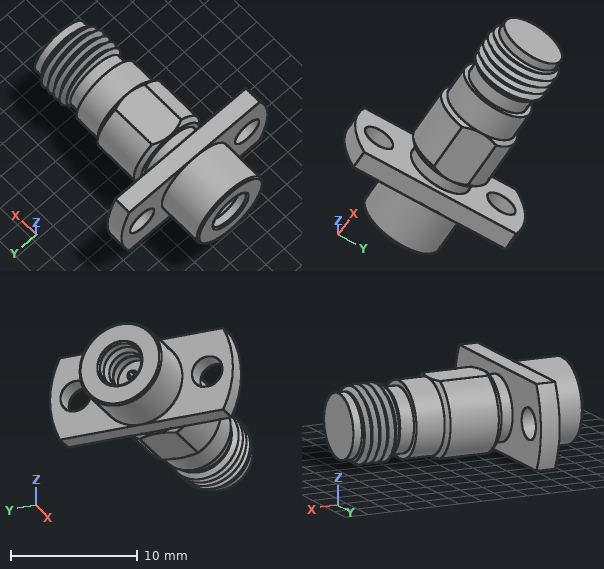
import cadquery as cq
import math

length = 19.81

barrel_dia = 7.11
barrel_chamfer = 0.14
flange_start = 4.18
flange_thickness = 1.65
flange_dia = 15.89
flange_height = 7.13
flange_hole_dia = 2.61
flange_hole_offset = 5.7
flange_end = flange_start + flange_thickness

front_neck_dia = 5.47
wrench_start = 7.01
wrench_end = 12.0
wrench_dia = barrel_dia
wrench_flats = 6.35
wrench_front_chamfer = 0.42
wrench_rear_chamfer = 0.34
collar_dia = wrench_flats
collar_end = 14.48

rear_dia = 5.43
thread_dia = 6.44
thread_start = 15.69
thread_end = 19.05
thread_pitch = 0.7
thread_base_width = 0.67
thread_root_overlap = 0.02
helix_start = 15.02
helix_turns = 7

socket_mouth_dia = 3.9
socket_dia = 3.6
socket_throat_dia = 3.05
socket_chamber_dia = 3.17
socket_chamfer = (socket_mouth_dia - socket_dia) / 2
taper_start = 0.9
taper_end = 1.35
throat_end = 2.18
socket_depth = 3.17

pin_dia = 0.8
pin_tip_dia = 0.38
pin_shoulder = 2.38
pin_tip_length = 0.4
pin_seat_depth = 0.8
pin_end = socket_depth + pin_seat_depth


def cylinder(start, end, diameter):
    """Cylinder about the X axis from x = start to x = end."""
    return cq.Workplane("YZ").workplane(offset=start).circle(diameter / 2).extrude(end - start)


def revolve_profile(points):
    """Solid of revolution about the X axis from (x, radius) points that begin and end on the axis."""
    return cq.Workplane("XY").polyline(points).close().revolve(360, (0, 0, 0), (1, 0, 0))


def make_barrel():
    return cylinder(0, flange_start, barrel_dia).faces("<X").chamfer(barrel_chamfer)


def make_flange():
    """Round plate trimmed flat above and below, with a mounting hole on each side."""
    middle = flange_start + flange_thickness / 2
    plate = cylinder(flange_start, flange_end, flange_dia)
    plate = plate.intersect(
        cq.Workplane("XY").box(flange_thickness, flange_dia, flange_height).translate((middle, 0, 0))
    )
    for side in (-1, 1):
        hole = cylinder(flange_start, flange_end, flange_hole_dia)
        plate = plate.cut(hole.translate((0, side * flange_hole_offset, 0)))
    return plate


def make_wrench_section():
    """Cylinder coned down at both ends to the collar diameter, with flats on +Z and -Z."""
    body = revolve_profile([
        (wrench_start, 0),
        (wrench_start, collar_dia / 2),
        (wrench_start + wrench_front_chamfer, wrench_dia / 2),
        (wrench_end - wrench_rear_chamfer, wrench_dia / 2),
        (wrench_end, collar_dia / 2),
        (wrench_end, 0),
    ])
    wrench_length = wrench_end - wrench_start
    between_flats = cq.Workplane("XY").box(wrench_length, wrench_dia, wrench_flats)
    return body.intersect(between_flats.translate((wrench_start + wrench_length / 2, 0, 0)))


def make_thread():
    """Right-handed V ridge, trimmed by 45 degree cones at both ends of the thread."""
    root_radius = rear_dia / 2 - thread_root_overlap
    crest_radius = thread_dia / 2
    helix = cq.Wire.makeHelix(thread_pitch, thread_pitch * helix_turns, root_radius)
    ridge = (
        cq.Workplane("XZ")
        .polyline([
            (root_radius, -thread_base_width / 2),
            (crest_radius, 0),
            (root_radius, thread_base_width / 2),
        ])
        .close()
        .sweep(cq.Workplane(obj=helix), isFrenet=True)
    )
    ridge = ridge.rotate((0, 0, 0), (1, 1, 1), 120).translate((helix_start, 0, 0))

    end_radius = rear_dia / 2
    envelope_radius = crest_radius + thread_root_overlap
    end_cone = envelope_radius - end_radius
    envelope = revolve_profile([
        (thread_start, 0),
        (thread_start, end_radius),
        (thread_start + end_cone, envelope_radius),
        (thread_end - end_cone, envelope_radius),
        (thread_end, end_radius),
        (thread_end, 0),
    ])
    return ridge.intersect(envelope)


def make_socket():
    """Space inside the barrel: lead-in, bore, taper, throat and a wider chamber."""
    return revolve_profile([
        (0, 0),
        (0, socket_mouth_dia / 2),
        (socket_chamfer, socket_dia / 2),
        (taper_start, socket_dia / 2),
        (taper_end, socket_throat_dia / 2),
        (throat_end, socket_throat_dia / 2),
        (throat_end, socket_chamber_dia / 2),
        (socket_depth, socket_chamber_dia / 2),
        (socket_depth, 0),
    ])


def make_housing():
    housing = make_barrel()
    housing = housing.union(make_flange())
    housing = housing.union(cylinder(flange_end, wrench_start, front_neck_dia))
    housing = housing.union(make_wrench_section())
    housing = housing.union(cylinder(wrench_end, collar_end, collar_dia))
    housing = housing.union(cylinder(collar_end, length, rear_dia))
    housing = housing.union(make_thread())
    pin_hole = cylinder(socket_depth, pin_end, pin_dia)
    return housing.cut(make_socket()).cut(pin_hole)


def make_pin():
    """Pin seated in the socket floor, with a slimmer round-nosed tip facing -X."""
    tip_radius = pin_tip_dia / 2
    nose = pin_shoulder - pin_tip_length
    dome_side = tip_radius * math.sqrt(0.5)
    return (
        cq.Workplane("XY")
        .moveTo(nose, 0)
        .threePointArc((nose + tip_radius - dome_side, dome_side), (nose + tip_radius, tip_radius))
        .lineTo(pin_shoulder, tip_radius)
        .lineTo(pin_shoulder, pin_dia / 2)
        .lineTo(pin_end, pin_dia / 2)
        .lineTo(pin_end, 0)
        .close()
        .revolve(360, (0, 0, 0), (1, 0, 0))
    )


housing = make_housing()
pin = make_pin()

result = cq.Compound.makeCompound([housing.val(), pin.val()])